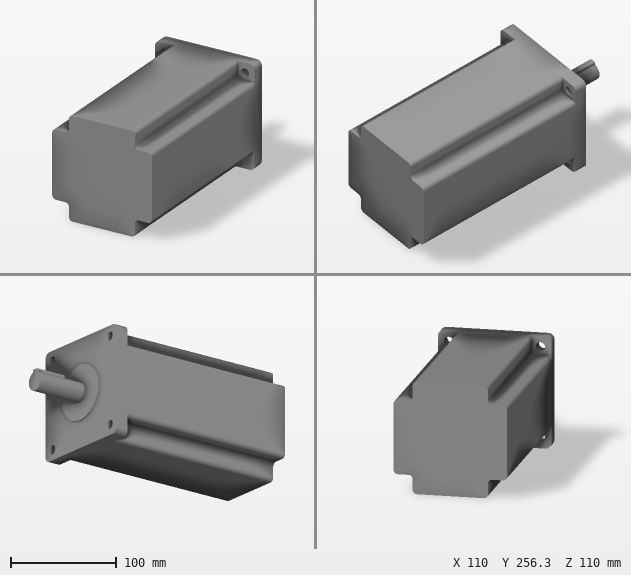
import cadquery as cq

SIDE = 110.0
TOTAL_LENGTH = 256.3

FLANGE_THICKNESS = 13.2
FLANGE_CORNER_RADIUS = 5.5
HOLE_DIAMETER = 9.0
HOLE_PITCH = 89.0

NOTCH = 18.5
NOTCH_RADIUS = 4.0

PILOT_DIAMETER = 55.5
PILOT_HEIGHT = 1.5

SHAFT_DIAMETER = 19.0
SHAFT_LENGTH = 53.5
KEY_WIDTH = 6.0
KEY_LENGTH = 35.0
KEY_TOP = 12.0

SHAFT_TIP_Y = TOTAL_LENGTH / 2
PILOT_FACE_Y = SHAFT_TIP_Y - SHAFT_LENGTH
FLANGE_FRONT_Y = PILOT_FACE_Y - PILOT_HEIGHT
FLANGE_BACK_Y = FLANGE_FRONT_Y - FLANGE_THICKNESS
BODY_BACK_Y = -TOTAL_LENGTH / 2


def section_at(y):
    """Workplane across the motor axis; extruding from it runs toward -Y."""
    return cq.Workplane("XZ", origin=(0, y, 0))


def make_body():
    length = FLANGE_BACK_Y - BODY_BACK_Y
    tall_bar = section_at(FLANGE_BACK_Y).rect(SIDE - 2 * NOTCH, SIDE).extrude(length)
    wide_bar = section_at(FLANGE_BACK_Y).rect(SIDE, SIDE - 2 * NOTCH).extrude(length)
    return tall_bar.union(wide_bar).edges("|Y").fillet(NOTCH_RADIUS)


def make_flange():
    plate = section_at(FLANGE_FRONT_Y).rect(SIDE, SIDE).extrude(FLANGE_THICKNESS)
    plate = plate.edges("|Y").fillet(FLANGE_CORNER_RADIUS)
    holes = (
        section_at(FLANGE_FRONT_Y)
        .rect(HOLE_PITCH, HOLE_PITCH, forConstruction=True)
        .vertices()
        .circle(HOLE_DIAMETER / 2)
        .extrude(FLANGE_THICKNESS)
    )
    return plate.cut(holes)


def make_pilot():
    return section_at(PILOT_FACE_Y).circle(PILOT_DIAMETER / 2).extrude(PILOT_HEIGHT)


def make_shaft():
    return section_at(SHAFT_TIP_Y).circle(SHAFT_DIAMETER / 2).extrude(SHAFT_LENGTH)


def make_key():
    """Key rising from the shaft axis, so that its lower part lies inside the shaft."""
    half_width = KEY_WIDTH / 2
    key_end_y = SHAFT_TIP_Y - KEY_LENGTH
    straight_end_y = key_end_y + half_width
    return (
        cq.Workplane("XY")
        .moveTo(-half_width, SHAFT_TIP_Y)
        .lineTo(-half_width, straight_end_y)
        .threePointArc((0, key_end_y), (half_width, straight_end_y))
        .lineTo(half_width, SHAFT_TIP_Y)
        .close()
        .extrude(KEY_TOP)
    )


result = make_flange().union(make_body()).union(make_pilot()).union(make_shaft()).union(make_key())